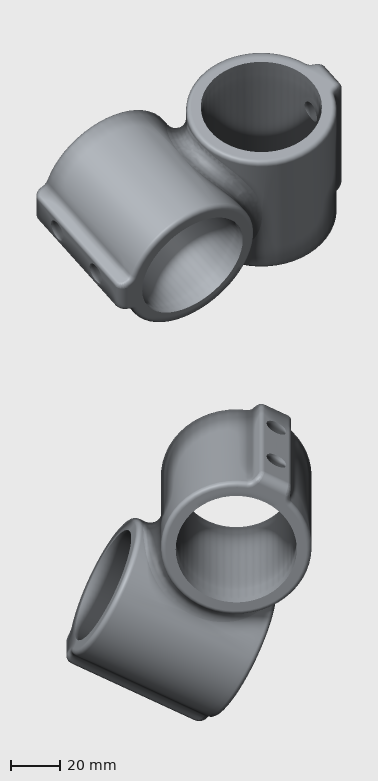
import cadquery as cq
import math

sleeve_length = 64.0
outer_radius = 30.5
bore_radius = 24.5
axis_spacing = 55.0
rail_reach = 35.0
rail_half_width = 6.9
rail_draft = math.radians(20)
bolt_diameter = 9.0
bolt_spacing = 28.0
edge_fillet = 2.0
root_fillet = 3.0
rail_end_fillet = 4.0
seam_fillet = 5.0

upright_y = axis_spacing / 2
level_y = -axis_spacing / 2


def make_sleeve():
    """Solid sleeve along Z, centred on the origin, with its rail towards +Y."""
    body = cq.Workplane("XY").circle(outer_radius).extrude(sleeve_length / 2, both=True)
    rail_root_y = bore_radius
    root_half_width = rail_half_width + (rail_reach - rail_root_y) * math.tan(rail_draft)
    rail = (
        cq.Workplane("XY")
        .moveTo(-root_half_width, rail_root_y)
        .lineTo(-rail_half_width, rail_reach)
        .lineTo(rail_half_width, rail_reach)
        .lineTo(root_half_width, rail_root_y)
        .close()
        .extrude(sleeve_length / 2, both=True)
    )
    sleeve = body.union(rail)

    sleeve = sleeve.faces(">Y").edges("|X").fillet(rail_end_fillet)
    root_box = cq.selectors.BoxSelector(
        (-outer_radius, rail_root_y, -sleeve_length),
        (outer_radius, outer_radius, sleeve_length),
    )
    sleeve = sleeve.edges("|Z").edges(root_box).fillet(root_fillet)
    return sleeve.edges("(not (|X or |Z)) or (|Z and >Y)").fillet(edge_fillet)


def join_sleeves(upright, level):
    """Fuse the sleeves and blend the closed seam where their walls cross."""
    joined = upright.union(level)
    wall_overlap = 2 * outer_radius - axis_spacing
    seam_box = cq.selectors.BoxSelector(
        (-outer_radius, -wall_overlap, -outer_radius),
        (outer_radius, wall_overlap, outer_radius),
    )
    return joined.edges("%BSPLINE").edges(seam_box).fillet(seam_fillet)


def make_bolt_holes():
    """Two radial holes through the rail wall of a sleeve lying like make_sleeve."""
    return (
        cq.Workplane("XZ")
        .pushPoints([(0, -bolt_spacing / 2), (0, bolt_spacing / 2)])
        .circle(bolt_diameter / 2)
        .extrude(-rail_reach)
    )


def place_upright(shape):
    return shape.translate((0, upright_y, 0))


def place_level(shape):
    """Lay the sleeve along X with its rail towards -Y."""
    turned = shape.rotate((0, 0, 0), (0, 0, 1), 180)
    return turned.rotate((0, 0, 0), (0, 1, 0), 90).translate((0, level_y, 0))


sleeve = make_sleeve()
bore = cq.Workplane("XY").circle(bore_radius).extrude(sleeve_length / 2, both=True)
cutter = bore.union(make_bolt_holes())

body = join_sleeves(place_upright(sleeve), place_level(sleeve))
result = body.cut(place_upright(cutter)).cut(place_level(cutter))